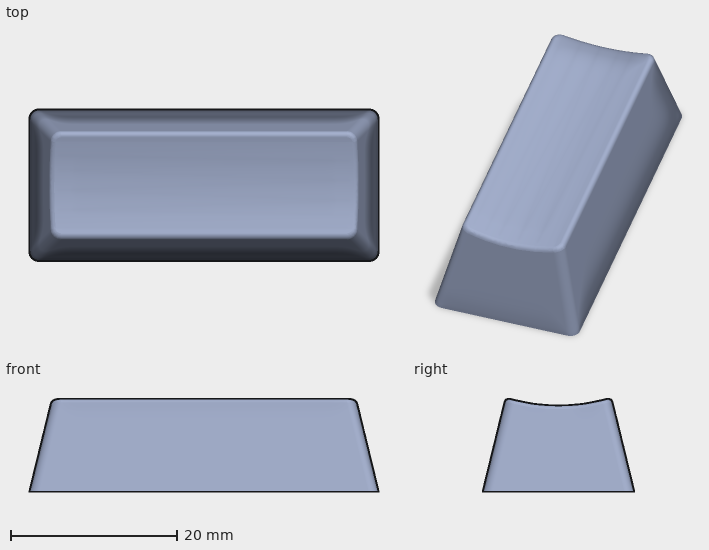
import cadquery as cq

base_length = 42.11
base_width = 18.3
draft_angle = 13.7
corner_radius = 1.25

dish_radius = 21.0
dish_floor_height = 10.4
rim_radius = 0.6

blank_height = 13.0


def make_body():
    """Solid drafted block with rounded corner edges."""
    block = cq.Workplane("XY").rect(base_length, base_width).extrude(blank_height, taper=draft_angle)
    corner_edges = block.edges("not(#Z)")
    return corner_edges.fillet(corner_radius)


def make_dish_cutter():
    """Cylinder along X whose lowest line is the dish floor."""
    return (
        cq.Workplane("YZ")
        .center(0, dish_floor_height + dish_radius)
        .circle(dish_radius)
        .extrude(base_length / 2, both=True)
    )


def round_rim(dished_body):
    """Round every edge around the dish, the topmost face."""
    return dished_body.faces(">Z").edges().fillet(rim_radius)


result = round_rim(make_body().cut(make_dish_cutter()))